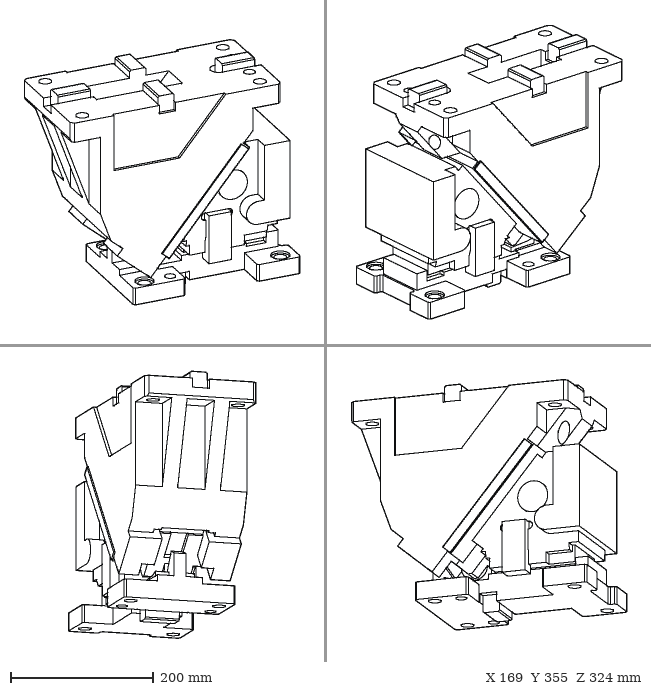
import cadquery as cq
import math


INCLINE = math.radians(50)
FACE_Y = 127.5
FACE_Z = 33.7
HALF_WIDTH = 82.5
BRACKET_CHAMFER = 5.0
RAIL_HALF = 33.7
RAIL_DEPTH = 21.3
SLIDE_FACE_START = 69.5
BOLT_DIAMETER = 18.0
OVERCUT = 3.5

KEY_WIDTH = 25.2
KEY_LENGTH = 50.0
KEY_DEPTH = 13.0
KEY_PROUD = 12.0
KEY_CHAMFER = 2.0

BRACKET_TOP = 300.0
BRACKET_LENGTH = 325.2
PLATE_UNDERSIDE = 270.0
NOSE_Z = 274.5
NOSE_ANGLE = math.radians(20)
NOSE_FILLET = 3.5
UNDERSIDE_RISE = 13.0
STOP_LOW = 6.5
STOP_HIGH = 74.0
STOP_LENGTH = 36.5
HEEL_START = 230.8
HEEL_DROP = 6.7
HEEL_TOP = 12.5
REAR_WALL_Y = 280.5
FRONT_WALL_Y = 45.0
RIB_INNER = 20.2
RIB_OUTER = 43.0
RAIL_END = 28.5
RAIL_BOTTOM = 44.7
RAIL_SHOULDER = 61.8
RAIL_SHOULDER_WIDTH = 3.2
GROOVE_DEPTH = 7.0
ARM_HALF_GAP = 34.8
ARM_STEP_HALF = 53.2
ARM_STEP_TOP = 26.5
RELIEF_TOP = 83.5
NOTCH_HALF = 45.5
NOTCH_TOP = 80.0
NOTCH_END = 22.5
BOSS_RISE = 41.5
BOSS_DROP = 6.5
BOSS_RADIUS = 19.5
BOSS_HALF = 9.0
GROOVE_HALF = 12.8
GROOVE_LOW = 18.8
TOP_BOLT_X = 63.0
TOP_BOLT_Y = 300.5
FRONT_BOLT_Y = 25.5
TOP_PIN_X = 27.7
TOP_PIN_DIAMETER = 16.5
WINDOW_HALF = 22.7
WINDOW_FRONT = 66.0
WINDOW_REAR = 198.5
WINDOW_FLOOR = 223.5
SIDE_POCKET_REAR = 238.5
SIDE_POCKET_FLOOR = 214.8
SIDE_POCKET_DEPTH = 4.5
SIDE_KEY_Y = 150.5
REAR_KEY_Y = 290.5
FRONT_KEY_Y = 36.2
GIB_THICKNESS = 2.0
GIB_START = 37.3
GIB_END = 228.3
GIB_LOW = 1.0
GIB_HIGH = 15.5

SLIDE_HALF = 53.0
SLIDE_TOP = 205.5
SLIDE_BOTTOM = 69.2
SLIDE_REAR = 332.0
SLIDE_FACE_END = 222.0
HEEL_POCKET_DEPTH = 9.2
BACK_HALF = 75.3
BACK_REAR = 341.5
BACK_FRONT = 301.8
BACK_BOTTOM = 85.2
EAR_RADIUS = 17.8
EAR_Y = 291.8
CROSS_BORE_Y = 263.0
CROSS_BORE_Z = 142.7
CROSS_BORE_DIAMETER = 45.0
FOOT_TOP = 59.5
FOOT_BOTTOM = 44.7
FOOT_HALF = 50.0
FOOT_FRONT = 197.5
FOOT_STEP_Y = 282.2
FOOT_REAR = 321.5
FOOT_REAR_HALF = 39.0
BEVEL_FRONT = 191.7
BEVEL_REAR = 317.5
HOOK_Y = 238.5
HOOK_WIDTH = 34.8
HOOK_TOP = 107.0
HOOK_BOTTOM = 32.5
HOOK_OUTER = 64.0
HOOK_TOE = 42.0
KEYWAY_LENGTH = 48.0
KEYWAY_HEIGHT = 11.5
KEYWAY_DEPTH = 3.5

DRIVER_FRONT = 96.5
DRIVER_REAR = 355.0
PAD_THICKNESS = 26.0
PAD_CHAMFER = 3.0
FRONT_PAD_REAR = 176.8
REAR_PAD_FRONT = 288.0
WAIST_HALF = 37.3
WAIST_REAR = 343.5
RIDGE_REAR = 340.5
RIDGE_REAR_Z = 51.0
RIDGE_NOTCH_Z = 35.0
RIDGE_NOTCH_FRONT = 291.0
RIDGE_TOP = 40.0
VALLEY_FRONT = 155.0
VALLEY_REAR = 190.5
VALLEY_Z = 32.5
STEP_HALF = 33.5
STEP_TOP = 34.8
WEAR_PLATE_HALF = 28.8
BLOCK_FRONT = 120.7
BLOCK_REAR = 162.0
BLOCK_REAR_Z = 39.5
BLOCK_BEND_Y = 131.5
BLOCK_BEND_Z = 41.5
DRIVER_RIB_HALF = 9.0
DRIVER_RIB_FRONT_Z = 67.5
DRIVER_RIB_PEAK_Y = 110.0
DRIVER_RIB_PEAK_Z = 72.8
DRIVER_BOLTS_Y = (120.7, 331.0)
DRIVER_BOLT_X = 65.3
DRIVER_PIN_Y = 160.5
DRIVER_PIN_DIAMETER = 15.5
COUNTERBORE_DIAMETER = 27.0
COUNTERBORE_DEPTH = 3.2
DRIVER_KEY_Y = 190.3


def on_incline(up, off):
    """(Y, Z) of a point a distance up the sliding face and a distance off it, towards the bracket."""
    y = FACE_Y + up * math.cos(INCLINE) - off * math.sin(INCLINE)
    z = FACE_Z + up * math.sin(INCLINE) + off * math.cos(INCLINE)
    return (y, z)


def incline_at_height(off, z):
    """(Y, Z) where a line parallel to the sliding face reaches a height."""
    up = (z - FACE_Z - off * math.cos(INCLINE)) / math.sin(INCLINE)
    return on_incline(up, off)


def incline_at_y(off, y):
    """(Y, Z) where a line parallel to the sliding face reaches a Y position."""
    up = (y - FACE_Y + off * math.sin(INCLINE)) / math.cos(INCLINE)
    return on_incline(up, off)


def prism(points, x0, x1):
    """A Y-Z outline extruded from x0 to x1."""
    return cq.Workplane("YZ", origin=(x0, 0, 0)).polyline(points).close().extrude(x1 - x0)


def incline_box(up0, up1, off0, off1, x0, x1):
    """A box lying along the sliding face."""
    corners = [(up0, off0), (up1, off0), (up1, off1), (up0, off1)]
    return prism([on_incline(up, off) for up, off in corners], x0, x1)


def box(x0, x1, y0, y1, z0, z1):
    return cq.Workplane("XY").box(x1 - x0, y1 - y0, z1 - z0, centered=False).translate((x0, y0, z0))


def x_cylinder(y, z, diameter, half_length):
    disc = cq.Workplane("YZ", origin=(-half_length, 0, 0)).center(y, z).circle(diameter / 2)
    return disc.extrude(2 * half_length)


def z_holes(points, diameter, z0, z1):
    return cq.Workplane("XY", origin=(0, 0, z0)).pushPoints(points).circle(diameter / 2).extrude(z1 - z0)


def mirrored_pair(shape):
    return shape.union(shape.mirror("YZ"))


def key(x, y, along_x):
    """A locating key with bevelled long top edges. The plate surface is at Z = 0."""
    length_x, length_y = (KEY_LENGTH, KEY_WIDTH) if along_x else (KEY_WIDTH, KEY_LENGTH)
    block = cq.Workplane("XY").box(length_x, length_y, KEY_DEPTH + KEY_PROUD, centered=(True, True, False))
    block = block.faces(">Z").edges("|X" if along_x else "|Y").chamfer(KEY_CHAMFER)
    return block.translate((x, y, -KEY_DEPTH))


def bracket_body():
    """Side outline: plate, sloped nose, stop slab, sliding face and heel."""
    low_y, low_z = on_incline(UNDERSIDE_RISE, 0)
    lean = math.tan(NOSE_ANGLE)
    nose_off = (low_y - (NOSE_Z - low_z) * lean) / (math.sin(INCLINE) - math.cos(INCLINE) * lean)
    nose = on_incline(UNDERSIDE_RISE, nose_off)
    outline = [
        (0, BRACKET_TOP),
        (0, NOSE_Z),
        nose,
        on_incline(UNDERSIDE_RISE, STOP_HIGH),
        on_incline(0, STOP_HIGH),
        on_incline(0, STOP_LOW),
        on_incline(STOP_LENGTH, STOP_LOW),
        on_incline(STOP_LENGTH, 0),
        on_incline(HEEL_START, 0),
        on_incline(HEEL_START, -HEEL_DROP),
        incline_at_y(-HEEL_DROP, BRACKET_LENGTH),
        (BRACKET_LENGTH, BRACKET_TOP),
    ]
    body = prism(outline, -HALF_WIDTH, HALF_WIDTH)
    body = body.edges(cq.selectors.NearestToPointSelector((0, *nose))).fillet(NOSE_FILLET)
    return body.edges("|Z").edges("<Y or >Y").chamfer(BRACKET_CHAMFER)


def front_pockets():
    """Three open pockets between the two front ribs."""
    pockets = cq.Workplane("XY")
    for x0, x1 in [(-HALF_WIDTH, -RIB_OUTER), (-RIB_INNER, RIB_INNER), (RIB_OUTER, HALF_WIDTH)]:
        pockets = pockets.union(box(x0, x1, -OVERCUT, FRONT_WALL_Y, SLIDE_BOTTOM, PLATE_UNDERSIDE))
    return pockets


def rear_pockets():
    """Clears both sides of the heel, behind the rear wall and under the body."""
    outline = [
        (REAR_WALL_Y, PLATE_UNDERSIDE),
        incline_at_y(HEEL_TOP, REAR_WALL_Y),
        on_incline(HEEL_START, HEEL_TOP),
        on_incline(HEEL_START, -HEEL_DROP),
        incline_at_y(-HEEL_DROP, BRACKET_LENGTH),
        (BRACKET_LENGTH, PLATE_UNDERSIDE),
    ]
    return mirrored_pair(prism(outline, RIB_OUTER, HALF_WIDTH))


def heel_bevels():
    """The sides of the heel taper in towards its underside."""
    y, z = on_incline(HEEL_START, 0)
    plane = cq.Plane(
        origin=(0, y, z),
        xDir=(-1, 0, 0),
        normal=(0, math.cos(INCLINE), math.sin(INCLINE)),
    )
    bevel = cq.Workplane(plane).polyline([
        (RIB_OUTER, HEEL_TOP),
        (RIB_INNER, -HEEL_DROP),
        (RIB_OUTER, -HEEL_DROP),
    ]).close().extrude(BRACKET_LENGTH)
    plate = box(-HALF_WIDTH, HALF_WIDTH, 0, 2 * BRACKET_LENGTH, PLATE_UNDERSIDE, 2 * BRACKET_TOP)
    return mirrored_pair(bevel.cut(plate))


def stop_relief():
    """Clearance between the two stop arms, and the steps in their inner lower corners."""
    gap = incline_box(-OVERCUT, RAIL_END, -RAIL_DEPTH, RELIEF_TOP, -ARM_HALF_GAP, ARM_HALF_GAP)
    ledge = RAIL_END + RAIL_SHOULDER_WIDTH
    gap = gap.union(
        incline_box(RAIL_END, ledge, RAIL_SHOULDER, RELIEF_TOP, -ARM_HALF_GAP, ARM_HALF_GAP)
    )
    notch = incline_box(0, NOTCH_END, STOP_HIGH, NOTCH_TOP, -NOTCH_HALF, NOTCH_HALF)
    steps = incline_box(-OVERCUT, RAIL_END, 0, ARM_STEP_TOP, -ARM_STEP_HALF, ARM_STEP_HALF)
    return gap.union(notch).union(steps)


def rail():
    """Guide rail under the sliding face, with a groove and a rounded boss on its end."""
    bar = incline_box(RAIL_END, SLIDE_FACE_START, -RAIL_DEPTH, ARM_STEP_TOP, -RAIL_HALF, RAIL_HALF)
    bar = bar.cut(box(-RAIL_HALF, RAIL_HALF, FACE_Y, CROSS_BORE_Y, 0, RAIL_BOTTOM))
    bottom = RAIL_END + GROOVE_DEPTH
    groove = incline_box(RAIL_END, bottom, GROOVE_LOW, RAIL_SHOULDER, -GROOVE_HALF, GROOVE_HALF)
    boss = x_cylinder(*on_incline(BOSS_RISE, -BOSS_DROP), 2 * BOSS_RADIUS, BOSS_HALF)
    return bar, groove, boss


def sloped_pocket(front, rear, floor, x0, x1):
    """A pocket from the top whose rear wall is parallel to the sliding face."""
    foot = rear - (BRACKET_TOP - floor) / math.tan(INCLINE)
    return prism([(front, BRACKET_TOP), (rear, BRACKET_TOP), (foot, floor), (front, floor)], x0, x1)


def top_key_slots():
    floor = BRACKET_TOP - KEY_DEPTH
    half = KEY_WIDTH / 2
    end = REAR_KEY_Y - KEY_LENGTH / 2
    rear = box(-half, half, end, BRACKET_LENGTH, floor, BRACKET_TOP)
    rear = rear.union(z_holes([(0, end)], KEY_WIDTH, floor, BRACKET_TOP))
    front = box(-half, half, 0, WINDOW_FRONT, floor, BRACKET_TOP)
    across = box(-HALF_WIDTH, HALF_WIDTH, SIDE_KEY_Y - half, SIDE_KEY_Y + half, floor, BRACKET_TOP)
    return rear.union(front).union(across)


def make_bracket():
    body = bracket_body()
    body = body.cut(front_pockets()).cut(rear_pockets()).cut(heel_bevels()).cut(stop_relief())

    bar, groove, boss = rail()
    body = body.union(bar).cut(groove).union(boss)

    body = body.cut(sloped_pocket(WINDOW_FRONT, WINDOW_REAR, WINDOW_FLOOR, -WINDOW_HALF, WINDOW_HALF))
    side = sloped_pocket(
        WINDOW_FRONT, SIDE_POCKET_REAR, SIDE_POCKET_FLOOR, HALF_WIDTH - SIDE_POCKET_DEPTH, HALF_WIDTH
    )
    body = body.cut(mirrored_pair(side))

    bolts = [(x, y) for x in (-TOP_BOLT_X, TOP_BOLT_X) for y in (FRONT_BOLT_Y, TOP_BOLT_Y)]
    pins = [(x, TOP_BOLT_Y) for x in (-TOP_PIN_X, TOP_PIN_X)]
    body = body.cut(z_holes(bolts, BOLT_DIAMETER, SLIDE_TOP, BRACKET_TOP))
    body = body.cut(z_holes(pins, TOP_PIN_DIAMETER, SLIDE_TOP, BRACKET_TOP))

    body = body.cut(top_key_slots())
    side_key_x = WINDOW_HALF + KEY_LENGTH / 2
    key_places = [
        (0, REAR_KEY_Y, False),
        (0, FRONT_KEY_Y, False),
        (-side_key_x, SIDE_KEY_Y, True),
        (side_key_x, SIDE_KEY_Y, True),
    ]
    for place in key_places:
        body = body.union(key(*place).translate((0, 0, BRACKET_TOP)))

    gib = incline_box(GIB_START, GIB_END, GIB_LOW, GIB_HIGH, HALF_WIDTH, HALF_WIDTH + GIB_THICKNESS)
    return body.union(mirrored_pair(gib))


def slide_body():
    outline = [
        (SLIDE_REAR, SLIDE_BOTTOM),
        (SLIDE_REAR, SLIDE_TOP),
        incline_at_height(-HEEL_POCKET_DEPTH, SLIDE_TOP),
        on_incline(SLIDE_FACE_END, -HEEL_POCKET_DEPTH),
        on_incline(SLIDE_FACE_END, 0),
        on_incline(SLIDE_FACE_START, 0),
        on_incline(SLIDE_FACE_START, -RAIL_DEPTH),
        incline_at_height(-RAIL_DEPTH, SLIDE_BOTTOM),
    ]
    return prism(outline, -SLIDE_HALF, SLIDE_HALF)


def back_block():
    """Wide mounting block, with round-ended ears along its lower edge."""
    block = box(-BACK_HALF, BACK_HALF, BACK_FRONT, BACK_REAR, BACK_BOTTOM, SLIDE_TOP)
    ear_top = BACK_BOTTOM + 2 * EAR_RADIUS
    ears = box(-BACK_HALF, BACK_HALF, EAR_Y, BACK_FRONT, BACK_BOTTOM, ear_top)
    return block.union(ears).union(x_cylinder(EAR_Y, BACK_BOTTOM + EAR_RADIUS, 2 * EAR_RADIUS, BACK_HALF))


def slide_foot():
    """Foot that rests on the wear plate, joined to the body by bevelled sides."""
    foot = box(-FOOT_HALF, FOOT_HALF, FOOT_FRONT, FOOT_STEP_Y, FOOT_BOTTOM, FOOT_TOP)
    heel = box(-FOOT_REAR_HALF, FOOT_REAR_HALF, FOOT_STEP_Y, FOOT_REAR, FOOT_BOTTOM, SLIDE_BOTTOM)
    bevel = cq.Workplane("XZ", origin=(0, BEVEL_REAR, 0)).polyline([
        (-FOOT_HALF, FOOT_TOP),
        (FOOT_HALF, FOOT_TOP),
        (SLIDE_HALF, SLIDE_BOTTOM),
        (-SLIDE_HALF, SLIDE_BOTTOM),
    ]).close().extrude(BEVEL_REAR - BEVEL_FRONT)
    return foot.union(heel).union(bevel)


def hook():
    """L-shaped hook keyed into the side of the slide, its toe under the foot."""
    front = HOOK_Y - HOOK_WIDTH / 2
    rear = HOOK_Y + HOOK_WIDTH / 2
    shank = box(SLIDE_HALF - KEYWAY_DEPTH, HOOK_OUTER, front, rear, FOOT_BOTTOM, HOOK_TOP)
    toe = box(HOOK_TOE, HOOK_OUTER, front, rear, HOOK_BOTTOM, FOOT_BOTTOM)
    return shank.union(toe)


def make_slide():
    body = slide_body().union(back_block()).union(slide_foot())
    body = body.cut(x_cylinder(CROSS_BORE_Y, CROSS_BORE_Z, CROSS_BORE_DIAMETER, HALF_WIDTH))

    keyway = (
        cq.Workplane("YZ", origin=(SLIDE_HALF - KEYWAY_DEPTH, 0, 0))
        .center(HOOK_Y, HOOK_TOP - KEYWAY_HEIGHT / 2)
        .slot2D(KEYWAY_LENGTH, KEYWAY_HEIGHT)
        .extrude(KEYWAY_DEPTH)
    )
    return body.cut(mirrored_pair(keyway)).union(mirrored_pair(hook()))


def driver_pads():
    front = box(-HALF_WIDTH, HALF_WIDTH, DRIVER_FRONT, FRONT_PAD_REAR, 0, PAD_THICKNESS)
    rear = box(-HALF_WIDTH, HALF_WIDTH, REAR_PAD_FRONT, DRIVER_REAR, 0, PAD_THICKNESS)
    rear = rear.cut(box(-WAIST_HALF, WAIST_HALF, WAIST_REAR, DRIVER_REAR, 0, PAD_THICKNESS))
    return front.edges("|Z").chamfer(PAD_CHAMFER).union(rear.edges("|Z").chamfer(PAD_CHAMFER))


def driver_ridge():
    """Stepped ridge along the middle, with a wear plate, a sloped block and a front rib."""
    outline = [
        (VALLEY_FRONT, 0),
        (VALLEY_FRONT, VALLEY_Z),
        (VALLEY_REAR, VALLEY_Z),
        (VALLEY_REAR, RIDGE_TOP),
        (RIDGE_NOTCH_FRONT, RIDGE_TOP),
        (RIDGE_NOTCH_FRONT, RIDGE_NOTCH_Z),
        (FOOT_REAR, RIDGE_NOTCH_Z),
        (FOOT_REAR, RIDGE_REAR_Z),
        (RIDGE_REAR, RIDGE_REAR_Z),
        (RIDGE_REAR, 0),
    ]
    ridge = prism(outline, -WAIST_HALF, WAIST_HALF)
    ridge = ridge.union(box(-STEP_HALF, STEP_HALF, DRIVER_FRONT, VALLEY_FRONT, 0, STEP_TOP))
    ridge = ridge.union(
        box(-WEAR_PLATE_HALF, WEAR_PLATE_HALF, FOOT_FRONT, FOOT_REAR, VALLEY_Z, FOOT_BOTTOM)
    )
    block = [
        (BLOCK_FRONT, 0),
        (BLOCK_FRONT, FOOT_BOTTOM),
        (BLOCK_BEND_Y, BLOCK_BEND_Z),
        (BLOCK_REAR, BLOCK_REAR_Z),
        (BLOCK_REAR, 0),
    ]
    ridge = ridge.union(prism(block, -WEAR_PLATE_HALF, WEAR_PLATE_HALF))
    rib = [
        (DRIVER_FRONT, 0),
        (DRIVER_FRONT, DRIVER_RIB_FRONT_Z),
        (DRIVER_RIB_PEAK_Y, DRIVER_RIB_PEAK_Z),
        (BLOCK_BEND_Y, BLOCK_BEND_Z),
        (BLOCK_BEND_Y, 0),
    ]
    return ridge.union(prism(rib, -DRIVER_RIB_HALF, DRIVER_RIB_HALF))


def make_driver():
    body = driver_pads().union(driver_ridge())
    sides = (-DRIVER_BOLT_X, DRIVER_BOLT_X)
    bolts = [(x, y) for x in sides for y in DRIVER_BOLTS_Y]
    pins = [(x, DRIVER_PIN_Y) for x in sides]
    body = body.cut(z_holes(bolts, BOLT_DIAMETER, 0, PAD_THICKNESS))
    body = body.cut(z_holes(bolts, COUNTERBORE_DIAMETER, PAD_THICKNESS - COUNTERBORE_DEPTH, PAD_THICKNESS))
    body = body.cut(z_holes(pins, DRIVER_PIN_DIAMETER, 0, PAD_THICKNESS))
    half = KEY_WIDTH / 2
    body = body.cut(box(-WAIST_HALF, WAIST_HALF, DRIVER_KEY_Y - half, DRIVER_KEY_Y + half, 0, KEY_DEPTH))
    return body.union(key(0, -DRIVER_KEY_Y, True).rotate((0, 0, 0), (1, 0, 0), 180))


bracket = make_bracket()
slide = make_slide()
driver = make_driver()

result = cq.Compound.makeCompound([bracket.val(), slide.val(), driver.val()])